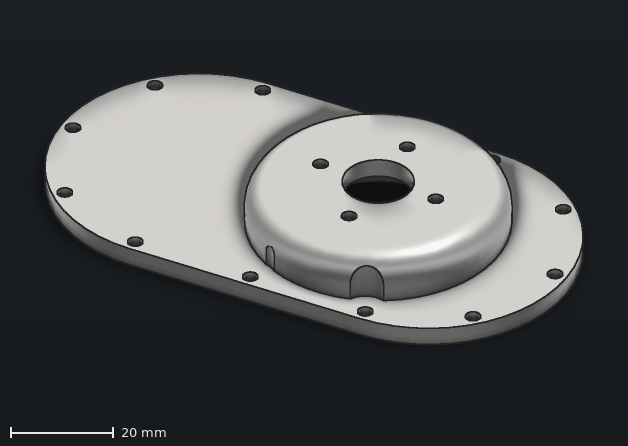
import cadquery as cq
import math

length = 110.0
width = 60.0
plate_thickness = 4.0
end_radius = width / 2
end_center_x = length / 2 - end_radius

total_height = 13.4
dome_x = 14.0
dome_diameter = 52.0
dome_fillet = 6.0
roof_thickness = 4.0
cavity_diameter = 36.0
bore_diameter = 14.0

hole_diameter = 3.0
rim_margin = 2.5
rim_hole_radius = end_radius - rim_margin
rim_hole_angles = (-90, -45, 0, 45, 90)
dome_hole_circle_radius = 12.5
dome_hole_count = 4

clearance_diameter = 10.0


def cylinder(diameter, bottom, top, points):
    """Upright cylinders at the given XY points, from bottom to top."""
    return (
        cq.Workplane("XY")
        .workplane(offset=bottom)
        .pushPoints(points)
        .circle(diameter / 2)
        .extrude(top - bottom)
    )


def end_hole_points(side):
    """Rim holes spaced around one rounded end; side is -1 or 1 along X."""
    points = []
    for angle in rim_hole_angles:
        x = end_center_x + rim_hole_radius * math.cos(math.radians(angle))
        y = rim_hole_radius * math.sin(math.radians(angle))
        points.append((side * x, y))
    return points


def make_plate():
    return cq.Workplane("XY").slot2D(length, width).extrude(plate_thickness)


def make_dome():
    dome = cylinder(dome_diameter, 0, total_height, dome_center)
    return dome.faces(">Z").edges().fillet(dome_fillet)


dome_center = [(dome_x, 0)]
middle_hole_points = [(0, -rim_hole_radius), (0, rim_hole_radius)]
rim_hole_points = end_hole_points(-1) + end_hole_points(1) + middle_hole_points

dome_hole_points = []
for index in range(dome_hole_count):
    angle = 2 * math.pi * index / dome_hole_count
    x = dome_x + dome_hole_circle_radius * math.cos(angle)
    y = dome_hole_circle_radius * math.sin(angle)
    dome_hole_points.append((x, y))

clearance_points = [(x, y) for x in (0, end_center_x) for y in (-rim_hole_radius, rim_hole_radius)]

result = make_plate().union(make_dome())
result = result.cut(cylinder(clearance_diameter, plate_thickness, total_height, clearance_points))

result = result.cut(cylinder(cavity_diameter, 0, total_height - roof_thickness, dome_center))
result = result.cut(cylinder(bore_diameter, 0, total_height, dome_center))
result = result.cut(cylinder(hole_diameter, 0, total_height, rim_hole_points + dome_hole_points))